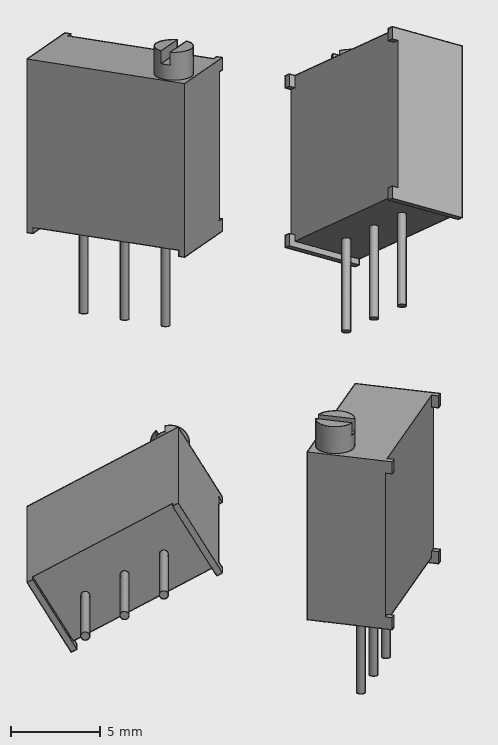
import cadquery as cq


housing_width = 9.78
housing_depth = 4.96
housing_height = 10.3

foot_width = 0.37
foot_height = 0.36

lug_width = foot_width
lug_depth = 0.4
lug_height = 0.74

screw_diameter = 2.2
screw_height = 1.65
screw_edge_distance = 1.27
slot_width = 0.56
slot_depth = 0.76

lead_diameter = 0.51
lead_pitch = 2.54
lead_count = 3
lead_back_distance = 2.5
overall_height = 17.1
lead_tip_z = housing_height + screw_height - overall_height

front_y = -housing_depth / 2
back_y = housing_depth / 2
lead_y = back_y - lead_back_distance


def block(x_size, y_size, z_size, x_centre, y_min, z_min):
    """Box centred in X about x_centre, rising from y_min and z_min."""
    return (
        cq.Workplane("XY")
        .box(x_size, y_size, z_size, centered=(True, False, False))
        .translate((x_centre, y_min, z_min))
    )


def make_housing():
    """Main block, with full-depth feet and corner lugs as standoffs."""
    main_depth = housing_depth - lug_depth
    main_height = housing_height - foot_height
    body = block(housing_width, main_depth, main_height, 0, front_y, foot_height)
    for side in (-1, 1):
        foot_x = side * (housing_width - foot_width) / 2
        foot = block(foot_width, main_depth, foot_height, foot_x, front_y, 0)
        body = body.union(foot)
    for side in (-1, 1):
        lug_x = side * (housing_width - lug_width) / 2
        for lug_z in (0, housing_height - lug_height):
            lug = block(lug_width, lug_depth, lug_height, lug_x, back_y - lug_depth, lug_z)
            body = body.union(lug)
    return body


def make_screw():
    """Screw head standing on the housing, slotted along Y."""
    screw_x = housing_width / 2 - screw_edge_distance
    screw_y = front_y + screw_edge_distance
    head = (
        cq.Workplane("XY", origin=(screw_x, screw_y, housing_height))
        .circle(screw_diameter / 2)
        .extrude(screw_height)
    )
    slot_y = screw_y - screw_diameter / 2
    slot_z = housing_height + screw_height - slot_depth
    return head.cut(block(slot_width, screw_diameter, slot_depth, screw_x, slot_y, slot_z))


def make_lead(x):
    """Round lead hanging from the underside of the housing."""
    return (
        cq.Workplane("XY", origin=(x, lead_y, lead_tip_z))
        .circle(lead_diameter / 2)
        .extrude(foot_height - lead_tip_z)
    )


housing = make_housing()
screw = make_screw()
leads = []
for index in range(lead_count):
    lead_x = (index - (lead_count - 1) / 2) * lead_pitch
    leads.append(make_lead(lead_x))

result = cq.Compound.makeCompound([housing.val(), screw.val(), *[lead.val() for lead in leads]])